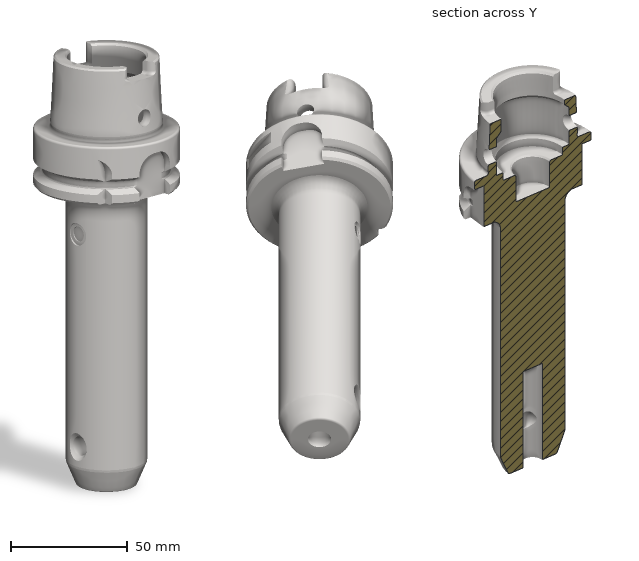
import cadquery as cq
import math


shank_length = 32.0
nose_reach = 160.0
cut_overrun = 5.0

gauge_height = 6.3
gauge_radius = 24.0
taper_slope = 1 / 20
shank_top_chamfer = 0.7
relief_top = 2.4
relief_bottom = 1.2
relief_depth = 0.2
relief_fillet = 1.0

flange_radius = 31.5
flange_thickness = 26.0
flange_edge_chamfer = 1.0
flange_top_fillet = 1.0
groove_centre_z = -17.9
groove_root_radius = 27.5
groove_root_half_width = 1.75
groove_mouth_half_width = 3.5
groove_root_fillet = 0.5
groove_flank_angle = 30.0

body_radius = 17.5
body_fillet = 4.8
body_fillet_length = 4.5
nose_cone_length = 10.6
nose_tip_radius = 13.0
nose_shoulder_fillet = 3.0
nose_tip_fillet = 1.0

mouth_radius = 17.0
mouth_chamfer = 0.9
mouth_depth = 12.4
clamp_radius = 19.5
clamp_floor_z = -2.0
bore_step_radius = 16.0
bore_floor_z = -6.0
tube_hole_radius = 9.0
tube_hole_chamfer = 0.7
tube_hole_depth = 14.0
tool_bore_radius = 5.0
tool_bore_depth = 50.0

drive_slot_half_width = 6.27
drive_slot_flare = 2.8
drive_slot_flare_x = 21.0
drive_slot_floor_fillet = 1.5
deep_slot_floor_z = 22.1
shallow_slot_floor_z = 26.2

access_hole_radius = 3.75
access_hole_z = 9.0

keyway_half_width = 9.0
keyway_corner_radius = 8.0
keyway_top_z = -4.8
keyway_floor = 26.5
side_notch_wall_y = -19.8
side_notch_floor_x = 20.0

label_angle = 135.0
label_length = 20.0
label_height = 6.0
label_z = -6.8
label_floor_radius = 29.5

clamp_screw_z = -140.0
clamp_screw_radius = 4.25
clamp_screw_mouth_radius = 6.1
plug_z = -44.8
plug_radius = 5.0
plug_face_y = -16.5
plug_socket_radius = 3.3
plug_socket_depth = 0.5


def taper_radius(z):
    return gauge_radius - (z - gauge_height) * taper_slope


def make_shank_and_flange():
    top_radius = taper_radius(shank_length)
    relief_radius = taper_radius(relief_top) - relief_depth
    return (
        cq.Workplane("XZ")
        .moveTo(0, -flange_thickness)
        .lineTo(flange_radius - flange_edge_chamfer, -flange_thickness)
        .lineTo(flange_radius, -flange_thickness + flange_edge_chamfer)
        .lineTo(flange_radius, -flange_top_fillet)
        .radiusArc((flange_radius - flange_top_fillet, 0), -flange_top_fillet)
        .lineTo(relief_radius + relief_fillet, 0)
        .radiusArc((relief_radius, relief_fillet), relief_fillet)
        .lineTo(relief_radius, relief_bottom)
        .lineTo(taper_radius(relief_top), relief_top)
        .lineTo(taper_radius(shank_length - shank_top_chamfer), shank_length - shank_top_chamfer)
        .lineTo(top_radius - shank_top_chamfer, shank_length)
        .lineTo(0, shank_length)
        .close()
        .revolve(360, (0, 0), (0, 1))
    )


def make_gripper_groove():
    flank_rise = groove_mouth_half_width - groove_root_half_width
    flank_foot = flange_radius - flank_rise / math.tan(math.radians(groove_flank_angle))
    outer = flange_radius + cut_overrun
    groove = (
        cq.Workplane("XZ", origin=(0, 0, groove_centre_z))
        .moveTo(groove_root_radius, -groove_root_half_width)
        .lineTo(flank_foot, -groove_root_half_width)
        .lineTo(flange_radius, -groove_mouth_half_width)
        .lineTo(outer, -groove_mouth_half_width)
        .lineTo(outer, groove_mouth_half_width)
        .lineTo(flange_radius, groove_mouth_half_width)
        .lineTo(flank_foot, groove_root_half_width)
        .lineTo(groove_root_radius, groove_root_half_width)
        .close()
        .revolve(360, (0, 0), (0, 1))
    )
    root_edges = cq.selectors.RadiusNthSelector(0)
    return groove.edges("%CIRCLE").edges(root_edges).fillet(groove_root_fillet)


def make_body():
    bottom = -nose_reach
    body_top = -flange_thickness - body_fillet_length
    reach = math.sqrt(body_fillet**2 - body_fillet_length**2)
    neck_radius = body_radius + body_fillet - reach
    half_angle = math.asin(body_fillet_length / body_fillet) / 2
    arc_mid = (
        body_radius + body_fillet * (1 - math.cos(half_angle)),
        body_top + body_fillet * math.sin(half_angle),
    )
    body = (
        cq.Workplane("XZ")
        .moveTo(0, bottom)
        .lineTo(nose_tip_radius, bottom)
        .lineTo(body_radius, bottom + nose_cone_length)
        .lineTo(body_radius, body_top)
        .threePointArc(arc_mid, (neck_radius, -flange_thickness))
        .lineTo(0, -flange_thickness)
        .close()
        .revolve(360, (0, 0), (0, 1))
    )
    shoulder = body.edges("%CIRCLE").edges(cq.selectors.CenterNthSelector(cq.Vector(0, 0, 1), 1))
    body = shoulder.fillet(nose_shoulder_fillet)
    return body.faces("<Z").edges().fillet(nose_tip_fillet)


def make_shank_bore():
    tube_hole_bottom = bore_floor_z - tube_hole_depth
    mouth_bottom = shank_length - mouth_depth
    return (
        cq.Workplane("XZ")
        .moveTo(0, shank_length)
        .lineTo(mouth_radius + mouth_chamfer, shank_length)
        .lineTo(mouth_radius, shank_length - mouth_chamfer)
        .lineTo(mouth_radius, mouth_bottom)
        .lineTo(clamp_radius, mouth_bottom - (clamp_radius - mouth_radius))
        .lineTo(clamp_radius, clamp_floor_z)
        .lineTo(bore_step_radius, clamp_floor_z)
        .lineTo(bore_step_radius, bore_floor_z)
        .lineTo(tube_hole_radius + tube_hole_chamfer, bore_floor_z)
        .lineTo(tube_hole_radius, bore_floor_z - tube_hole_chamfer)
        .lineTo(tube_hole_radius, tube_hole_bottom)
        .lineTo(0, tube_hole_bottom)
        .close()
        .revolve(360, (0, 0), (0, 1))
    )


def make_tool_bore():
    return cq.Workplane("XY", origin=(0, 0, -nose_reach)).circle(tool_bore_radius).extrude(tool_bore_depth)


def make_drive_slot(floor_z):
    """Slot on the +X side of the shank whose walls flare outward near the outside."""
    outer = flange_radius
    flare_start_x = drive_slot_flare_x - drive_slot_flare
    flare_y = drive_slot_half_width + drive_slot_flare
    bulge = drive_slot_flare * math.sqrt(0.5)
    arc_mid_x = flare_start_x + bulge
    arc_mid_y = flare_y - bulge
    slot = (
        cq.Workplane("XY", origin=(0, 0, floor_z))
        .moveTo(0, -drive_slot_half_width)
        .lineTo(flare_start_x, -drive_slot_half_width)
        .threePointArc((arc_mid_x, -arc_mid_y), (drive_slot_flare_x, -flare_y))
        .lineTo(drive_slot_flare_x, -outer)
        .lineTo(outer, -outer)
        .lineTo(outer, outer)
        .lineTo(drive_slot_flare_x, outer)
        .lineTo(drive_slot_flare_x, flare_y)
        .threePointArc((arc_mid_x, arc_mid_y), (flare_start_x, drive_slot_half_width))
        .lineTo(0, drive_slot_half_width)
        .close()
        .extrude(shank_length + cut_overrun - floor_z)
    )
    return slot.faces("<Z").edges().fillet(drive_slot_floor_fillet)


def make_arched_slot(floor_x, centre_y):
    """Slot on the +X side of the flange, open at the bottom, with rounded upper corners."""
    bottom = -flange_thickness
    height = keyway_top_z - bottom
    return (
        cq.Workplane("YZ", origin=(floor_x, centre_y, bottom + height / 2))
        .rect(2 * keyway_half_width, height)
        .extrude(flange_radius + cut_overrun - floor_x)
        .edges("|X and >Z")
        .fillet(keyway_corner_radius)
    )


def make_label_pocket():
    return (
        cq.Workplane("XY")
        .box(cut_overrun, label_length, label_height, centered=(False, True, True))
        .translate((label_floor_radius, 0, label_z))
        .rotate((0, 0, 0), (0, 0, 1), label_angle)
    )


def make_access_hole():
    return (
        cq.Workplane("YZ", origin=(-flange_radius, 0, access_hole_z))
        .circle(access_hole_radius)
        .extrude(2 * flange_radius)
    )


def make_side_hole(z, radius, floor_y):
    """Round hole entering the body from the -Y side and ending at floor_y."""
    start_y = -body_radius - cut_overrun
    return cq.Workplane("XZ", origin=(0, start_y, z)).circle(radius).extrude(start_y - floor_y)


def make_clamp_screw_hole():
    hole = make_side_hole(clamp_screw_z, clamp_screw_radius, 0)
    sink_depth = clamp_screw_mouth_radius - clamp_screw_radius
    countersink = cq.Solid.makeCone(
        clamp_screw_mouth_radius,
        clamp_screw_radius,
        sink_depth,
        cq.Vector(0, -body_radius, clamp_screw_z),
        cq.Vector(0, 1, 0),
    )
    return hole.union(cq.Workplane(countersink))


def make_plug_recess():
    face = make_side_hole(plug_z, plug_radius, plug_face_y)
    socket = make_side_hole(plug_z, plug_socket_radius, plug_face_y + plug_socket_depth)
    return face.union(socket)


def to_minus_x(solid):
    return solid.rotate((0, 0, 0), (0, 0, 1), 180)


result = make_shank_and_flange().cut(make_gripper_groove())

keyway = make_arched_slot(keyway_floor, 0)
result = result.cut(keyway).cut(to_minus_x(keyway))
result = result.cut(make_arched_slot(side_notch_floor_x, side_notch_wall_y - keyway_half_width))
result = result.cut(make_label_pocket())

result = result.cut(make_drive_slot(shallow_slot_floor_z))
result = result.cut(to_minus_x(make_drive_slot(deep_slot_floor_z)))
result = result.cut(make_access_hole())

result = result.union(make_body())
result = result.cut(make_shank_bore()).cut(make_tool_bore())
result = result.cut(make_clamp_screw_hole()).cut(make_plug_recess())